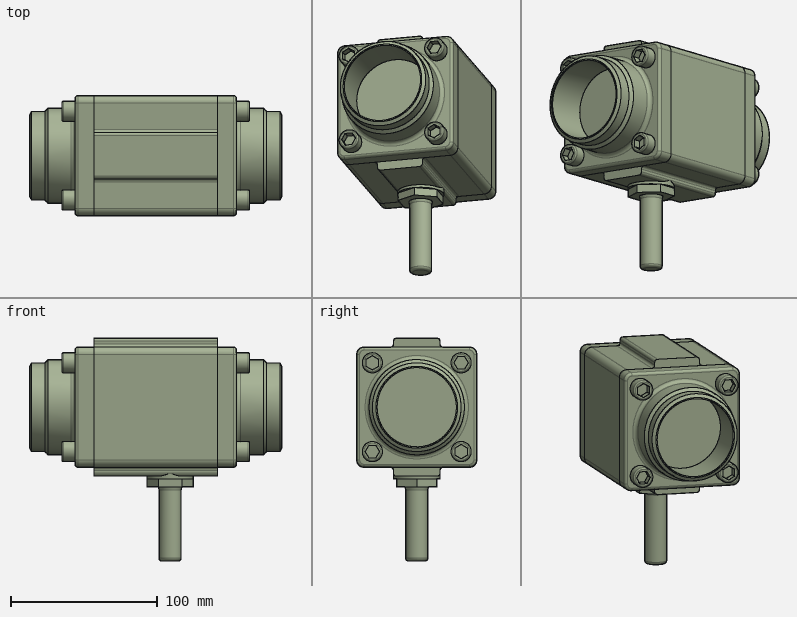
import cadquery as cq
import math

total_length = 172.0
box_length = 110.0
housing_length = 84.3
section_size = 82.0
section_radius = 5.2
plate_thickness = (box_length - housing_length) / 2
plate_edge_radius = 2.0

rib_width = 31.8
rib_height = 6.0
rib_radius = 2.0

stub_radius = 32.5
stub_root_radius = 2.8
end_radius = 30.3
end_length = 10.3
step_size = stub_radius - end_radius
lip_radius = 27.9
bevel_length = 1.4
bore_radius = 27.0
bore_depth = (total_length - box_length) / 2

screw_offset = 30.3
screw_radius = 6.9
screw_height = 9.0
screw_edge_radius = 1.0
socket_flats = 8.5
socket_depth = 6.0

gland_x = 9.8
boss_height = 1.9
hex_flats = 27.5
hex_height = 5.3
cable_radius = 7.5
cable_end_radius = 2.0
collar_radius = 8.0
collar_height = 2.0
cable_length = 50.7

housing_bottom = -section_size / 2 - rib_height
boss_bottom = housing_bottom - boss_height


def hexagon_diameter(flats):
    """Diameter across the corners of a hexagon with this size across flats."""
    return flats / math.cos(math.pi / 6)


def square_block(start_x, length):
    """Bar along X with the rounded square section."""
    return (
        cq.Workplane("YZ", origin=(start_x, 0, 0))
        .rect(section_size, section_size)
        .extrude(length)
        .edges("|X")
        .fillet(section_radius)
    )


def rib_section():
    """Outline in YZ of one rib on top, with rounded crests and filleted roots."""
    half = rib_width / 2
    base = section_size / 2
    crest = base + rib_height
    arc = rib_radius
    sunk = base - section_radius
    return (
        cq.Workplane("YZ", origin=(-housing_length / 2, 0, 0))
        .moveTo(-half - arc, sunk)
        .lineTo(-half - arc, base)
        .radiusArc((-half, base + arc), -arc)
        .lineTo(-half, crest - arc)
        .radiusArc((-half + arc, crest), arc)
        .lineTo(half - arc, crest)
        .radiusArc((half, crest - arc), arc)
        .lineTo(half, base + arc)
        .radiusArc((half + arc, base), -arc)
        .lineTo(half + arc, sunk)
        .close()
    )


def make_housing():
    """Square block with two opposite ribs and a round boss for the gland."""
    housing = square_block(-housing_length / 2, housing_length)
    top_rib = rib_section().extrude(housing_length)
    bottom_rib = top_rib.mirror("XY")
    boss = (
        cq.Workplane("XY", origin=(gland_x, 0, boss_bottom))
        .circle(rib_width / 2)
        .extrude(boss_height + rib_radius)
    )
    return housing.union(top_rib).union(bottom_rib).union(boss)


def screw_head():
    """Socket screw head standing on the left flange face, in the (+Y, +Z) corner."""
    head = (
        cq.Workplane("YZ", origin=(-box_length / 2, screw_offset, screw_offset))
        .circle(screw_radius)
        .extrude(-screw_height)
        .faces("<X")
        .edges()
        .fillet(screw_edge_radius)
    )
    socket = (
        cq.Workplane("YZ", origin=(-box_length / 2 - screw_height, screw_offset, screw_offset))
        .transformed(rotate=(0, 0, 90))
        .polygon(6, hexagon_diameter(socket_flats))
        .extrude(socket_depth)
    )
    return head.cut(socket)


def pipe_stub():
    """Solid of revolution about X for the stub on the left flange."""
    face_x = -box_length / 2
    open_x = -total_length / 2
    step_x = open_x + end_length
    root = stub_root_radius
    return (
        cq.Workplane("XY")
        .moveTo(open_x, 0)
        .lineTo(open_x, lip_radius)
        .lineTo(open_x + bevel_length, end_radius)
        .lineTo(step_x, end_radius)
        .lineTo(step_x + step_size, stub_radius)
        .lineTo(face_x - root, stub_radius)
        .radiusArc((face_x, stub_radius + root), -root)
        .lineTo(face_x, 0)
        .close()
        .revolve(360, (0, 0, 0), (1, 0, 0))
    )


def make_left_flange():
    """Flange plate with its pipe stub, bore and four screw heads."""
    plate = (
        square_block(-box_length / 2, plate_thickness)
        .faces("<X")
        .edges()
        .fillet(plate_edge_radius)
    )
    bore = (
        cq.Workplane("YZ", origin=(-total_length / 2, 0, 0))
        .circle(bore_radius)
        .extrude(bore_depth)
    )
    flange = plate.union(pipe_stub()).cut(bore)
    for quarter_turn in range(4):
        flange = flange.union(screw_head().rotate((0, 0, 0), (1, 0, 0), 90 * quarter_turn))
    return flange


def make_cable_gland():
    """Hexagonal gland nut with the cable hanging from it."""
    nut = (
        cq.Workplane("XY", origin=(gland_x, 0, boss_bottom))
        .polygon(6, hexagon_diameter(hex_flats))
        .extrude(-hex_height)
    )
    nut_bottom = boss_bottom - hex_height
    cable = (
        cq.Workplane("XY", origin=(gland_x, 0, nut_bottom))
        .circle(cable_radius)
        .extrude(-cable_length)
        .faces("<Z")
        .edges()
        .fillet(cable_end_radius)
    )
    collar = (
        cq.Workplane("XY", origin=(gland_x, 0, nut_bottom))
        .circle(collar_radius)
        .workplane(offset=-collar_height)
        .circle(cable_radius)
        .loft()
    )
    return nut.union(cable).union(collar)


housing = make_housing()
left_flange = make_left_flange()
right_flange = left_flange.rotate((0, 0, 0), (0, 0, 1), 180)
cable_gland = make_cable_gland()

result = cq.Compound.makeCompound(
    [housing.val(), left_flange.val(), right_flange.val(), cable_gland.val()]
)